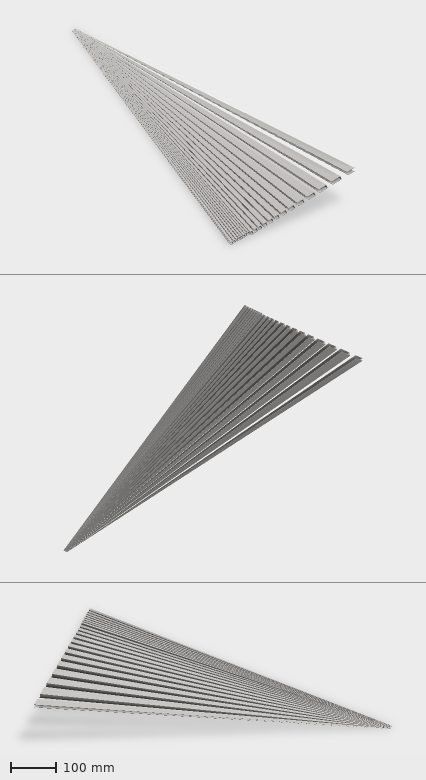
import cadquery as cq
import math

LENGTH = 730.0
NARROW_SCALE = 0.03
APEX_Y = 6.5
APEX_Z = 0.0

STRIP_EDGES_Y = [
    314.0, 279.0, 243.0, 212.5, 184.0, 160.5, 140.0, 121.0, 106.0, 90.5, 77.5,
    66.5, 55.5, 47.0, 41.0, 36.0, 30.0, 24.0, 18.0, 12.0, 5.0, 0.0,
]
STRIP_COUNT = len(STRIP_EDGES_Y) - 1
BODY_COUNT = 10
STRIPS_PER_BODY = STRIP_COUNT // BODY_COUNT

SHEET = 1.1
FILL_RATIO = 0.64
CUT_STRIP_WIDTH = 19.0
ROOT_LENGTH = 4.0

MAIN_TOP_Z = 88.0
MAIN_SLOPE = math.atan(0.265)
MAIN_HEIGHT = 12.5
TAIL_FIRST_STRIP = 13
TAIL_TOP_Z = 21.0
TAIL_SLOPE = math.atan(0.21)
TAIL_HEIGHT = 9.5


def strip_frame(index):
    """Height and slope of a strip, and the place of its upper corner, at the wide end."""
    top_y = STRIP_EDGES_Y[index]
    if index < TAIL_FIRST_STRIP:
        drop = (STRIP_EDGES_Y[0] - top_y) * math.tan(MAIN_SLOPE)
        return MAIN_HEIGHT, MAIN_SLOPE, top_y, MAIN_TOP_Z - drop
    drop = (STRIP_EDGES_Y[TAIL_FIRST_STRIP] - top_y) * math.tan(TAIL_SLOPE)
    return TAIL_HEIGHT, TAIL_SLOPE, top_y, TAIL_TOP_Z - drop


def strip_width(index):
    """Width along the slope; the last strip fills the row to its end."""
    if index == 0:
        return CUT_STRIP_WIDTH
    is_last = index == STRIP_COUNT - 1
    fill = 1 if is_last else FILL_RATIO
    slope = strip_frame(index)[1]
    return fill * (STRIP_EDGES_Y[index] - STRIP_EDGES_Y[index + 1]) / math.cos(slope)


def place(index, section):
    """Y, Z at the wide end of section points: (distance down the slope, depth below it)."""
    _, slope, top_y, top_z = strip_frame(index)
    return [
        (
            top_y - along * math.cos(slope) + depth * math.sin(slope),
            top_z - along * math.sin(slope) - depth * math.cos(slope),
        )
        for along, depth in section
    ]


def section_wire(points, x):
    """Wide-end outline, scaled toward the apex to its size at x."""
    scale = NARROW_SCALE + (1 - NARROW_SCALE) * x / LENGTH
    vertices = [
        cq.Vector(x, APEX_Y + (y - APEX_Y) * scale, APEX_Z + (z - APEX_Z) * scale)
        for y, z in points
    ]
    return cq.Wire.makePolygon(vertices, close=True)


def tapered(points, x_end=LENGTH):
    """Solid from x = 0 to x_end that shrinks toward the apex."""
    return cq.Solid.makeLoft([section_wire(points, 0), section_wire(points, x_end)], True)


def upright(along, depth, slope):
    """Section point on the upright line that crosses the top of the strip at this distance."""
    return along + depth * math.tan(slope), depth


def channel_strip(index):
    """C-shaped strip: two sheets and a web on the +Y side; the last one has an upright open side."""
    height, slope, _, _ = strip_frame(index)
    width = strip_width(index)
    inner = height - SHEET
    open_side = [(width, depth) for depth in (0, SHEET, inner, height)]
    if index == STRIP_COUNT - 1:
        open_side = [upright(width, depth, slope) for _, depth in open_side]
    section = [
        (0, 0), *open_side[:2], (SHEET, SHEET),
        (SHEET, inner), *open_side[2:], (0, height),
    ]
    return [tapered(place(index, section))]


def cut_strip(index):
    """First strip: two sheets without a web, cut upright on the +Y side."""
    height, slope, _, _ = strip_frame(index)
    width = strip_width(index)
    sheets = []
    for top in (0, height - SHEET):
        bottom = top + SHEET
        section = [
            upright(0, top, slope), (width, top),
            (width, bottom), upright(0, bottom, slope),
        ]
        sheets.append(tapered(place(index, section)))
    return sheets


def root(first, last):
    """Solid block at the narrow end, from the first strip's +Y side to the last strip's open side."""
    first_height = strip_frame(first)[0]
    last_height = strip_frame(last)[0]
    last_width = strip_width(last)
    upper_side = place(first, [(0, first_height), (0, 0)])
    lower_side = place(last, [(last_width, 0), (last_width, last_height)])
    return tapered(upper_side + lower_side, ROOT_LENGTH)


def fan_body(first, last):
    """Neighbouring strips, joined by a root at the narrow end."""
    strips = []
    for index in range(first, last + 1):
        strips += cut_strip(index) if index == 0 else channel_strip(index)
    return root(first, last).fuse(*strips).Solids()


fan_bodies = []
for body in range(BODY_COUNT):
    first_strip = body * STRIPS_PER_BODY
    is_last_body = body == BODY_COUNT - 1
    last_strip = STRIP_COUNT - 1 if is_last_body else first_strip + STRIPS_PER_BODY - 1
    fan_bodies += fan_body(first_strip, last_strip)

result = cq.Compound.makeCompound(fan_bodies)